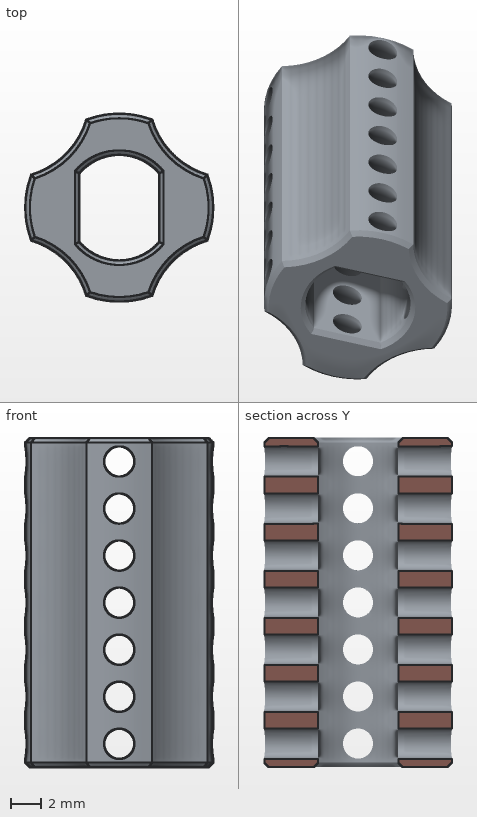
import cadquery as cq
import math

length = 21.88
outer_diameter = 12.5
outer_radius = outer_diameter / 2
edge_chamfer = 0.3

lobe_width = 4.38
flute_depth = 1.23
flute_count = 4

bore_diameter = 7.0
bore_flat_width = 5.3

hole_diameter = 2.0
holes_per_row = 7
hole_pitch = length / holes_per_row


def make_fluted_body():
    """Cylinder with concave flutes, chamfered around both ends."""
    half_lobe_angle = math.asin(lobe_width / 2 / outer_radius)
    half_flute_angle = math.pi / flute_count - half_lobe_angle
    corner_along = outer_radius * math.cos(half_flute_angle)
    corner_across = outer_radius * math.sin(half_flute_angle)
    deepest_radius = outer_radius - flute_depth
    sagitta = corner_along - deepest_radius
    flute_radius = (corner_across**2 + sagitta**2) / (2 * sagitta)
    flute_axis_radius = deepest_radius + flute_radius

    flutes = (
        cq.Workplane("XY")
        .polarArray(flute_axis_radius, 180 / flute_count, 360, flute_count)
        .circle(flute_radius)
        .extrude(length)
    )
    body = cq.Workplane("XY").circle(outer_radius).extrude(length).cut(flutes)
    return body.faces("<Z or >Z").edges().chamfer(edge_chamfer)


def make_bore():
    """Round bore narrowed by two flats facing X."""
    bore = cq.Workplane("XY").circle(bore_diameter / 2).extrude(length)
    flats = cq.Workplane("XY").rect(bore_flat_width, bore_diameter).extrude(length)
    return bore.intersect(flats)


def make_radial_holes():
    """Holes running right through the body along both X and Y."""
    heights = [(0, (row + 0.5) * hole_pitch) for row in range(holes_per_row)]
    along_y = (
        cq.Workplane("XZ")
        .pushPoints(heights)
        .circle(hole_diameter / 2)
        .extrude(outer_diameter, both=True)
    )
    along_x = along_y.rotate((0, 0, 0), (0, 0, 1), 90)
    return along_y.union(along_x)


def chamfer_bore_mouths(body):
    """Chamfer the bore edges at both ends of the body."""
    reach = bore_diameter / 2 + edge_chamfer
    mouth_box = cq.selectors.BoxSelector(
        (-reach, -reach, -edge_chamfer),
        (reach, reach, length + edge_chamfer),
        boundingbox=True,
    )
    return body.faces("<Z or >Z").edges(mouth_box).chamfer(edge_chamfer)


sleeve = chamfer_bore_mouths(make_fluted_body().cut(make_bore()))
result = sleeve.cut(make_radial_holes())